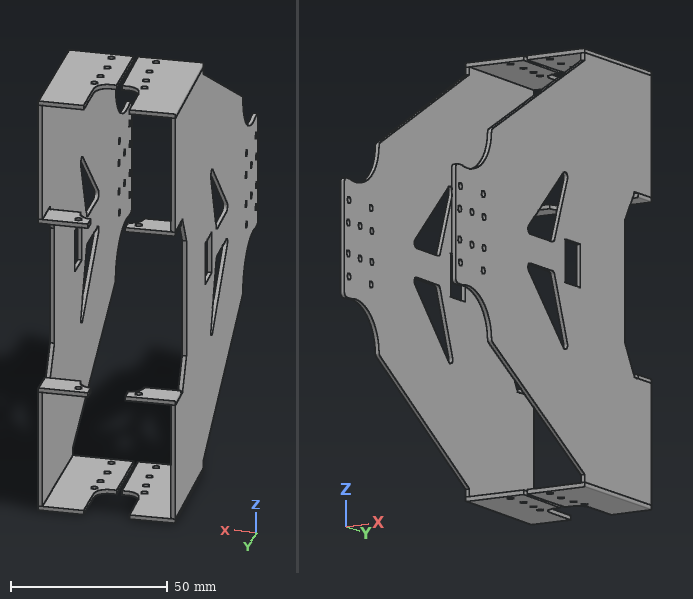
import cadquery as cq
import math


overall_width = 45.27
overall_height = 143.8
plate_length = 121.0
thickness = 1.5
left_turn = 1.076
left_setback = 0.42
half_height = overall_height / 2
hole_diameter = 2.1
bend_radius = 0.5

flange_width = 21.6
flange_length = 41.3
flange_notch_edge = 15.1
flange_notch_depth = 17.9
flange_notch_radius = 4.5
flange_holes = [(14.2, 18.1), (14.9, 23.6), (15.4, 30.7), (14.9, 38.3)]

tab_width = 16.5
tab_length = 8.4
tab_notch_start = 4.0
tab_notch_radius = tab_length - tab_notch_start
tab_hole = (12.7, 3.0)
tab_top = 30.4

plate_half_height = half_height - thickness
shoulder_height = 67.9
slope_angle = 30.0
scoop_radius = 15.0
scoop_back = 113.9
scoop_height = 34.2
nose_half_height = 19.6
corner_radius = 1.5
rear_notch_back = 16.3
rear_notch_start = 10.4
rear_notch_angle = 60.0
rear_notch_half_height = tab_top - (rear_notch_back - rear_notch_start) * math.tan(math.radians(rear_notch_angle))

window_start = 44.0
window_end = 53.2
window_height = 14.2
lightening_corners = [(49.6, 33.4), (60.3, 4.8), (78.4, 4.8)]
nose_hole_centre = 111.0
nose_holes = [(7.05, 12.54), (7.5, 5.06)]
nose_middle_hole_height = 5.37


def plate_sketch():
    """Workplane on the outer face: local x is the distance back, a negative extrusion goes to +X."""
    return cq.Workplane(cq.Plane(origin=(0, 0, 0), xDir=(0, -1, 0), normal=(-1, 0, 0)))


def plate_outline():
    """Upper then lower half of the outline, before the scoops are cut."""
    slope_drop = (scoop_back - flange_length) * math.tan(math.radians(slope_angle))
    upper = [
        (rear_notch_back, rear_notch_half_height),
        (rear_notch_start, tab_top),
        (0, tab_top),
        (0, plate_half_height),
        (flange_length, plate_half_height),
        (flange_length, shoulder_height),
        (scoop_back, shoulder_height - slope_drop),
        (scoop_back, nose_half_height),
        (plate_length, nose_half_height),
    ]
    lower = [(back, -height) for back, height in reversed(upper)]
    return upper + lower


def round_scoop_corners(plate):
    """Round the point where each sloped edge runs into its scoop."""
    slope_end = scoop_back - scoop_radius
    height = shoulder_height - (slope_end - flange_length) * math.tan(math.radians(slope_angle))
    for side in (1, -1):
        corner = (thickness / 2, -slope_end, side * height)
        plate = plate.edges(cq.selectors.NearestToPointSelector(corner)).fillet(corner_radius)
    return plate


def lightening_hole(side):
    """Rounded triangular opening above (side = 1) or below (side = -1) mid height."""
    corners = [(back, side * height) for back, height in lightening_corners]
    return plate_sketch().polyline(corners).close().extrude(-thickness).edges("|X").fillet(corner_radius)


def make_side_plate():
    plate = plate_sketch().polyline(plate_outline()).close().extrude(-thickness)
    plate = plate.edges("|X and <Y").fillet(corner_radius)
    scoop_centres = [(scoop_back, scoop_height), (scoop_back, -scoop_height)]
    plate = plate.cut(plate_sketch().pushPoints(scoop_centres).circle(scoop_radius).extrude(-thickness))
    plate = round_scoop_corners(plate)

    window = plate_sketch().center((window_start + window_end) / 2, 0)
    plate = plate.cut(window.rect(window_end - window_start, window_height).extrude(-thickness))
    for side in (1, -1):
        plate = plate.cut(lightening_hole(side))

    centres = []
    for up in (1, -1):
        centres.append((nose_hole_centre, up * nose_middle_hole_height))
        for back, height in nose_holes:
            centres.append((nose_hole_centre + back, up * height))
            centres.append((nose_hole_centre - back, up * height))
    return plate.cut(plate_sketch().pushPoints(centres).circle(hole_diameter / 2).extrude(-thickness))


def make_flange():
    """Upper flange: it covers the top edge of the plate and is notched at its rear inner corner."""
    bottom = cq.Workplane("XY", origin=(0, 0, half_height - thickness))
    flange = (
        bottom.lineTo(flange_notch_edge, 0)
        .lineTo(flange_notch_edge, -flange_notch_depth + flange_notch_radius)
        .radiusArc((flange_notch_edge + flange_notch_radius, -flange_notch_depth), -flange_notch_radius)
        .lineTo(flange_width, -flange_notch_depth)
        .lineTo(flange_width, -flange_length)
        .lineTo(0, -flange_length)
        .close()
        .extrude(thickness)
    )
    flange = flange.edges("|Y and <X and >Z").fillet(bend_radius)
    centres = [(across, -back) for across, back in flange_holes]
    return flange.cut(bottom.pushPoints(centres).circle(hole_diameter / 2).extrude(thickness))


def make_tab():
    """Upper tab: it sits under the plate edge beside the rear notch, with a scooped front inner corner."""
    bottom = cq.Workplane("XY", origin=(0, 0, tab_top - thickness))
    tab = (
        bottom.lineTo(tab_width, 0)
        .lineTo(tab_width, -tab_notch_start)
        .radiusArc((tab_width - tab_notch_radius, -tab_length), -tab_notch_radius)
        .lineTo(0, -tab_length)
        .close()
        .extrude(thickness)
    )
    tab = tab.edges("|Y and <X and <Z").fillet(bend_radius)
    across, back = tab_hole
    return tab.cut(bottom.center(across, -back).circle(hole_diameter / 2).extrude(thickness))


def place_left(body):
    turned = body.rotate((0, 0, 0), (0, 0, 1), left_turn)
    return turned.translate((-overall_width / 2, -left_setback, 0))


def place_right(body):
    return body.mirror("YZ").translate((overall_width / 2, 0, 0))


side_plate = make_side_plate()
upper_flange = make_flange()
upper_tab = make_tab()
bracket = [side_plate]
for part in (upper_flange, upper_tab):
    bracket += [part, part.mirror("XY")]

bodies = []
for part in bracket:
    bodies += [place_left(part).val(), place_right(part).val()]

result = cq.Compound.makeCompound(bodies)